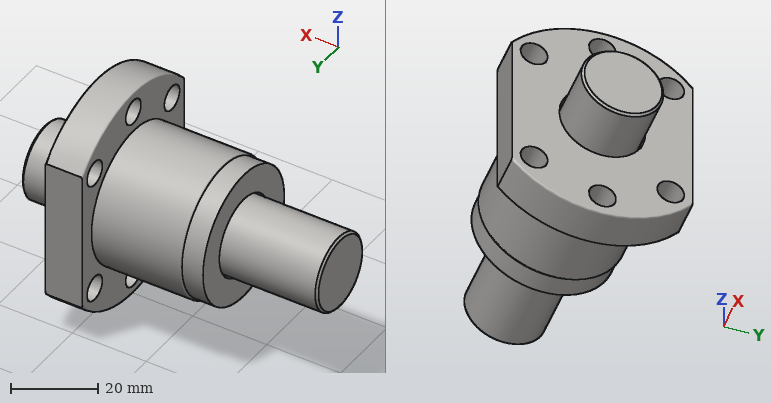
import cadquery as cq
import math

shaft_length = 80.0
shaft_diameter = 20.0
shaft_chamfer = 0.6

nut_diameter = 36.0
bore_diameter = 21.0
nut_start = -8.2
flange_start = 16.0
flange_thickness = 10.0
flange_end = flange_start + flange_thickness
nut_edge_fillet = 0.4

cap_diameter = 35.0
cap_start = -13.8
cap_length = nut_start - cap_start

flange_diameter = 58.0
flange_width = 44.0
flange_fillet = 0.5
bolt_hole_diameter = 6.6
bolt_circle_diameter = 47.0
bolt_angles = (45, 90, 135, 225, 270, 315)


def cylinder_along_x(start, length, diameter):
    """Solid cylinder on the X axis, running from start toward +X."""
    return cq.Workplane("YZ", origin=(start, 0, 0)).circle(diameter / 2).extrude(length)


def make_shaft():
    shaft = cylinder_along_x(-shaft_length / 2, shaft_length, shaft_diameter)
    return shaft.edges().chamfer(shaft_chamfer)


def make_end_cap():
    """Plain ring with the same clearance bore as the nut."""
    bore = cylinder_along_x(cap_start, cap_length, bore_diameter)
    return cylinder_along_x(cap_start, cap_length, cap_diameter).cut(bore)


def make_flange():
    """Rounded-edge disc with two flat sides and a row of bolt holes above and below."""
    disc = cylinder_along_x(flange_start, flange_thickness, flange_diameter)
    disc = disc.edges().fillet(flange_fillet)
    flats = cq.Workplane("YZ", origin=(flange_start, 0, 0)).rect(flange_width, flange_diameter)
    flange = disc.intersect(flats.extrude(flange_thickness))

    bolt_radius = bolt_circle_diameter / 2
    hole_centres = [
        (bolt_radius * math.cos(math.radians(angle)), bolt_radius * math.sin(math.radians(angle)))
        for angle in bolt_angles
    ]
    holes = cq.Workplane("YZ", origin=(flange_start, 0, 0)).pushPoints(hole_centres)
    return flange.cut(holes.circle(bolt_hole_diameter / 2).extrude(flange_thickness))


def make_nut():
    body = cylinder_along_x(nut_start, flange_end - nut_start, nut_diameter)
    body = body.faces("<X").edges().fillet(nut_edge_fillet)
    bore = cylinder_along_x(nut_start, flange_end - nut_start, bore_diameter)
    return body.union(make_flange()).cut(bore)


shaft = make_shaft()
end_cap = make_end_cap()
nut = make_nut()

result = cq.Compound.makeCompound([shaft.val(), end_cap.val(), nut.val()])